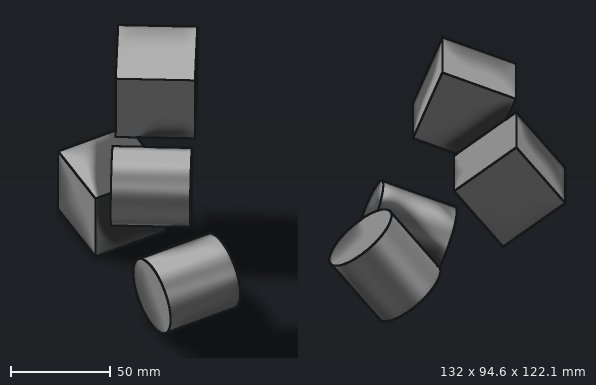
import cadquery as cq

body_size = 40.0
center_offset = body_size
cube_drop = 2.0
level_spacing = 80.1
upper_turn = -30

levels = [(0, 0), (level_spacing, upper_turn)]


def place(body, height, turn):
    """Raise a body to its level and turn it about the Z axis."""
    return body.translate((0, 0, height)).rotate((0, 0, 0), (0, 0, 1), turn)


def make_cube(height, turn):
    """Cube on the -X side, extending from Y = 0 toward +Y."""
    cube = cq.Workplane("XY").box(body_size, body_size, body_size)
    cube = cube.translate((-center_offset, body_size / 2, -cube_drop))
    return place(cube, height, turn)


def make_cylinder(height, turn):
    """Cylinder on the +X side, its axis along Y before turning."""
    cylinder = cq.Workplane("XZ").center(center_offset, 0).circle(body_size / 2).extrude(-body_size)
    return place(cylinder, height, turn)


cubes = [make_cube(height, turn) for height, turn in levels]
cylinders = [make_cylinder(height, turn) for height, turn in levels]

result = cq.Compound.makeCompound([body.val() for body in cubes + cylinders])